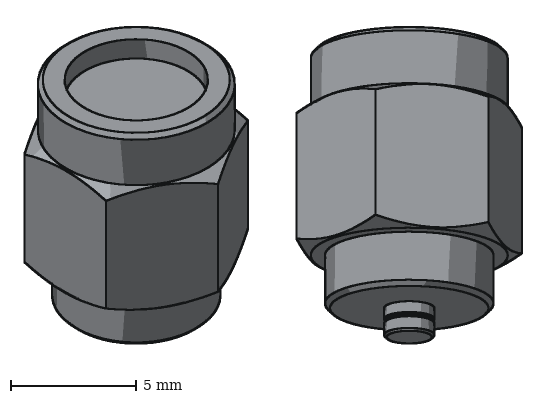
import cadquery as cq
import math

pin_top = 1.2
hex_bottom = 3.4
hex_top = 9.4
total_height = 11.8

across_flats = 8.0
across_corners = across_flats / math.cos(math.radians(30))
hex_cone_diameter = 7.86
hex_bevel_angle = 30.0

collar_diameter = 7.86
neck_diameter = 6.73
edge_chamfer = 0.2

pin_diameter = 2.01
pin_chamfer = 0.1
groove_depth = 0.06
groove_bottom = 0.58
groove_width = 0.18

socket_diameter = 5.71
socket_depth = 0.93


def cylinder(diameter, bottom, top):
    """Upright cylinder on the Z axis between two heights."""
    return cq.Workplane("XY").workplane(offset=bottom).circle(diameter / 2).extrude(top - bottom)


def hex_nut():
    """Hexagon with corners on Y, its ends bevelled by cones."""
    nut = (
        cq.Workplane("XY")
        .workplane(offset=hex_bottom)
        .polygon(6, across_corners)
        .extrude(hex_top - hex_bottom)
        .rotate((0, 0, 0), (0, 0, 1), 90)
    )
    end_radius = hex_cone_diameter / 2
    corner_radius = across_corners / 2
    bevel_drop = (corner_radius - end_radius) * math.tan(math.radians(hex_bevel_angle))
    envelope = (
        cq.Workplane("XZ")
        .moveTo(0, hex_bottom)
        .lineTo(end_radius, hex_bottom)
        .lineTo(corner_radius, hex_bottom + bevel_drop)
        .lineTo(corner_radius, hex_top - bevel_drop)
        .lineTo(end_radius, hex_top)
        .lineTo(0, hex_top)
        .close()
        .revolve(360, (0, 0, 0), (0, 1, 0))
    )
    return nut.intersect(envelope)


def grooved_pin():
    """Chamfered pin with a shallow groove whose walls slope at 45 degrees."""
    outer_radius = pin_diameter / 2
    floor_radius = outer_radius - groove_depth
    groove_top = groove_bottom + groove_width
    return (
        cq.Workplane("XZ")
        .moveTo(0, 0)
        .lineTo(outer_radius - pin_chamfer, 0)
        .lineTo(outer_radius, pin_chamfer)
        .lineTo(outer_radius, groove_bottom)
        .lineTo(floor_radius, groove_bottom + groove_depth)
        .lineTo(floor_radius, groove_top - groove_depth)
        .lineTo(outer_radius, groove_top)
        .lineTo(outer_radius, pin_top)
        .lineTo(0, pin_top)
        .close()
        .revolve(360, (0, 0, 0), (0, 1, 0))
    )


collar = cylinder(collar_diameter, hex_top, total_height).faces(">Z").chamfer(edge_chamfer)
neck = cylinder(neck_diameter, pin_top, hex_bottom).faces("<Z").chamfer(edge_chamfer)
socket = cylinder(socket_diameter, total_height - socket_depth, total_height)

result = hex_nut().union(collar).union(neck).union(grooved_pin()).cut(socket)